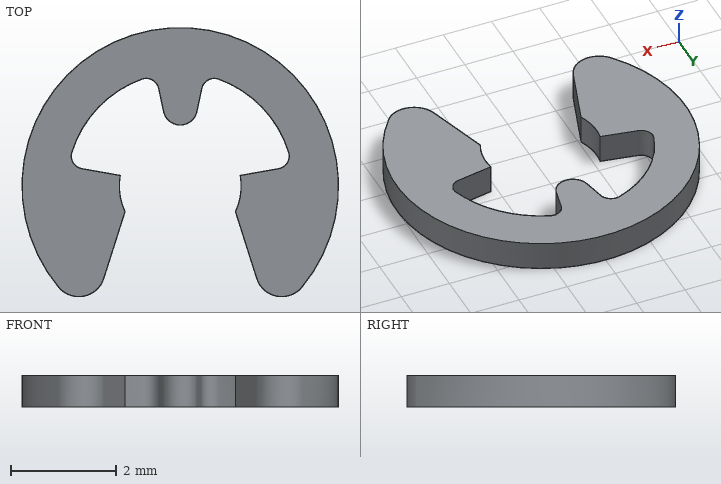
import cadquery as cq
import math

thickness = 0.6
outer_radius = 3.0
total_depth = 5.1
shaft_radius = 1.15
window_radius = 2.15
corner_radius = 0.24
tip_radius = 0.5
jaw_top_angle = 10.0
jaw_bottom_angle = -25.0
tongue_end_radius = 0.325
tongue_side_angle = 12.0


def polar(radius, degrees, center=(0.0, 0.0)):
    angle = math.radians(degrees)
    return (center[0] + radius * math.cos(angle), center[1] + radius * math.sin(angle))


def angle_of(x, y):
    return math.degrees(math.atan2(y, x))


tip_center_distance = outer_radius - tip_radius
tip_center_y = outer_radius - total_depth + tip_radius
tip_center_x = math.sqrt(tip_center_distance**2 - tip_center_y**2)
tip_center = (tip_center_x, tip_center_y)
tip_outer_angle = angle_of(*tip_center)
tip_outer = polar(outer_radius, tip_outer_angle)
tip_bottom = polar(tip_radius, -90, tip_center)

jaw_bottom = polar(shaft_radius, jaw_bottom_angle)
to_jaw_x = jaw_bottom[0] - tip_center_x
to_jaw_y = jaw_bottom[1] - tip_center_y
tangent_offset = math.degrees(math.acos(tip_radius / math.hypot(to_jaw_x, to_jaw_y)))
tip_inner = polar(tip_radius, angle_of(to_jaw_x, to_jaw_y) + tangent_offset, tip_center)

jaw_middle = polar(shaft_radius, (jaw_top_angle + jaw_bottom_angle) / 2)
jaw_top = polar(shaft_radius, jaw_top_angle)
window_corner = polar(window_radius, jaw_top_angle)

tongue_center = (0.0, shaft_radius + tongue_end_radius)
tongue_tangent = polar(tongue_end_radius, -tongue_side_angle, tongue_center)
tongue_end_middle = polar(tongue_end_radius, -(90 + tongue_side_angle) / 2, tongue_center)

side_direction = polar(1.0, 90 - tongue_side_angle)
along_side = tongue_tangent[0] * side_direction[0] + tongue_tangent[1] * side_direction[1]
across_side_squared = tongue_tangent[0]**2 + tongue_tangent[1]**2 - along_side**2
side_length = math.sqrt(window_radius**2 - across_side_squared) - along_side
tongue_root = (
    tongue_tangent[0] + side_length * side_direction[0],
    tongue_tangent[1] + side_length * side_direction[1],
)
window_middle_angle = (jaw_top_angle + angle_of(*tongue_root)) / 2

half_ring = (
    cq.Workplane("XY")
    .moveTo(0, outer_radius)
    .threePointArc(polar(outer_radius, (90 + tip_outer_angle) / 2), tip_outer)
    .threePointArc(tip_bottom, tip_inner)
    .lineTo(*jaw_bottom)
    .threePointArc(jaw_middle, jaw_top)
    .lineTo(*window_corner)
    .threePointArc(polar(window_radius, window_middle_angle), tongue_root)
    .lineTo(*tongue_tangent)
    .threePointArc(tongue_end_middle, (0, shaft_radius))
    .close()
    .extrude(thickness)
)

for corner in (window_corner, tongue_root):
    corner_edge = cq.selectors.NearestToPointSelector((*corner, thickness / 2))
    half_ring = half_ring.edges("|Z").edges(corner_edge).fillet(corner_radius)

result = half_ring.union(half_ring.mirror("YZ")).clean()